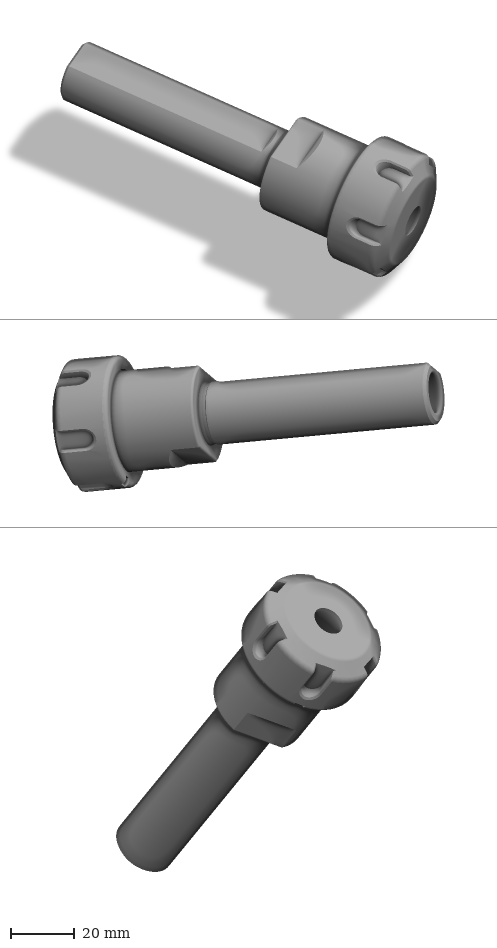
import cadquery as cq
import math


total_length = 121.9
through_bore_diameter = 10.0

shank_radius = 20.0 / 2
shank_flat_height = 8.5
shank_flat_end = 70.1
groove_start = 72.8
groove_radius = 19.4 / 2
groove_flank = shank_radius - groove_radius
groove_flare = 1.0
collar_root_radius = 10.1
end_chamfer = 1.0

mouth_diameter = 12.5
mouth_depth = 4.9
mouth_bottom_angle = 60.0
mouth_round = 1.0

collar_start = 75.2
collar_radius = 32.0 / 2
collar_round = 0.7
collar_flat_height = 13.4
collar_flat_end = 84.9
collar_end = 115.8

nut_start = 102.0
nut_radius = 42.0 / 2
nut_rear_round = 1.5
nut_front_angle = 60.0
nut_face_radius = 15.1
nut_front_round = 2.0
nut_relief_radius = 33.0 / 2
nut_relief_depth = 1.5

slot_count = 6
slot_width = 6.1
slot_floor_height = 17.9
slot_end_tilt = 28.0
slot_edge_chamfer = 0.55
slot_cutter_reach = 2.4
short_slot_start = 108.6
long_slot_start = 106.9

notch_floor_width = 2.7
notch_mouth_width = 3.5
notch_floor_height = 18.2
notch_depth = nut_rear_round


def turned(outline):
    """Solid of revolution about X from (x, radius) points; the axis side is closed."""
    points = [(outline[0][0], 0), *outline, (outline[-1][0], 0)]
    return cq.Workplane("XY").polyline(points).close().revolve(360, (0, 0, 0), (1, 0, 0))


def flat_cutter(start, end, height, radius):
    """Block above a flat at the given height, ending in a 45 degree ramp."""
    rise = 2 * radius - height
    profile = [(start, height), (end, height), (end + rise, height + rise), (start, height + rise)]
    return cq.Workplane("XZ").polyline(profile).close().extrude(radius, both=True)


def make_shank():
    shank = turned([(0, shank_radius), (groove_start, shank_radius)])
    shank = shank.cut(flat_cutter(0, shank_flat_end, shank_flat_height, shank_radius))
    return shank.faces("<X").edges().chamfer(end_chamfer)


def make_neck():
    """Grooved neck between shank and collar, flaring into the collar face."""
    return turned([
        (groove_start, shank_radius),
        (groove_start + groove_flank, groove_radius),
        (collar_start - groove_flare, groove_radius),
        (collar_start, collar_root_radius),
    ])


def make_collar():
    collar = turned([(collar_start, collar_radius), (collar_end, collar_radius)])
    cutter = flat_cutter(collar_start, collar_flat_end, collar_flat_height, collar_radius)
    collar = collar.cut(cutter).cut(cutter.mirror("XY"))
    return collar.faces("<X").edges().fillet(collar_round)


def make_mouth():
    """Wider bore at the shank end, with a conical bottom and a rounded rim."""
    radius = mouth_diameter / 2
    step = radius - through_bore_diameter / 2
    cone_length = step / math.tan(math.radians(mouth_bottom_angle))
    profile = (
        cq.Workplane("XY")
        .moveTo(0, 0)
        .lineTo(0, radius + mouth_round)
        .radiusArc((mouth_round, radius), -mouth_round)
        .lineTo(mouth_depth, radius)
        .lineTo(mouth_depth + cone_length, radius - step)
        .lineTo(mouth_depth + cone_length, 0)
        .close()
    )
    return profile.revolve(360, (0, 0, 0), (1, 0, 0))


def make_through_bore():
    return cq.Workplane("YZ").circle(through_bore_diameter / 2).extrude(total_length)


def make_holder():
    holder = make_shank().union(make_neck()).union(make_collar())
    return holder.cut(make_mouth()).cut(make_through_bore())


def make_nut_blank():
    cone_length = (nut_radius - nut_face_radius) / math.tan(math.radians(nut_front_angle))
    shoulder = total_length - cone_length
    blank = turned([(nut_start, nut_radius), (shoulder, nut_radius), (total_length, nut_face_radius)])
    blank = blank.faces("<X").edges().fillet(nut_rear_round)
    front_cone = blank.faces("%CONE")
    return front_cone.edges("%CIRCLE").fillet(nut_front_round)


def make_slot_cutter(start, angle):
    """Open-ended slot along X with a leaning half-round end, turned about X from +Z by the angle."""
    radius = slot_width / 2
    tilt = math.radians(slot_end_tilt)
    height = nut_radius - slot_floor_height
    half_length = radius / math.cos(tilt)
    floor_centre = start + half_length + height * math.tan(tilt)
    rise = height + slot_cutter_reach
    lean = rise * math.tan(tilt)
    side = [
        (floor_centre, slot_floor_height),
        (floor_centre - lean, slot_floor_height + rise),
        (total_length + slot_cutter_reach, slot_floor_height + rise),
        (total_length + slot_cutter_reach, slot_floor_height),
    ]
    channel = cq.Workplane("XZ").polyline(side).close().extrude(radius, both=True)
    axis = cq.Vector(-math.sin(tilt), 0, math.cos(tilt))
    clearance = 2 * slot_width
    base = cq.Vector(floor_centre, 0, slot_floor_height) - axis * clearance
    end = cq.Workplane(obj=cq.Solid.makeCylinder(radius, 2 * clearance, base, axis))
    above_floor = (
        cq.Workplane("XY", origin=(floor_centre, 0, slot_floor_height))
        .rect(2 * clearance, clearance)
        .extrude(rise)
    )
    cutter = channel.union(end.intersect(above_floor))
    return cutter.rotate((0, 0, 0), (1, 0, 0), angle)


def slot_rim_edges(nut):
    """Edges where the slot walls meet the outside: the only outer edges that are not circular."""
    slot_rim_height = (slot_floor_height + nut_radius) / 2
    rim_edges = []
    for edge in nut.edges().vals():
        middle = edge.positionAt(0.5)
        outside = math.hypot(middle.y, middle.z) > slot_rim_height
        if outside and edge.geomType() != "CIRCLE":
            rim_edges.append(edge)
    return rim_edges


def make_notch():
    """Flared notch cut up into the rear rim at the bottom of the nut."""
    floor, mouth = -notch_floor_height, -nut_radius
    profile = [
        (-notch_floor_width / 2, floor),
        (notch_floor_width / 2, floor),
        (notch_mouth_width / 2, mouth),
        (-notch_mouth_width / 2, mouth),
    ]
    return cq.Workplane("YZ", origin=(nut_start, 0, 0)).polyline(profile).close().extrude(notch_depth)


def make_nut():
    nut = make_nut_blank()
    for index in range(slot_count):
        angle = index * 360 / slot_count
        on_upper_half = math.cos(math.radians(angle)) > 0
        start = short_slot_start if on_upper_half else long_slot_start
        nut = nut.cut(make_slot_cutter(start, angle))
    seat = turned([(nut_start, collar_radius), (collar_end, collar_radius)])
    relief = turned([(nut_start, nut_relief_radius), (nut_start + nut_relief_depth, nut_relief_radius)])
    nut = nut.newObject(slot_rim_edges(nut)).chamfer(slot_edge_chamfer)
    return nut.cut(make_notch()).cut(seat).cut(relief).cut(make_through_bore())


holder = make_holder()
nut = make_nut()

result = cq.Compound.makeCompound([holder.solids().val(), nut.solids().val()])